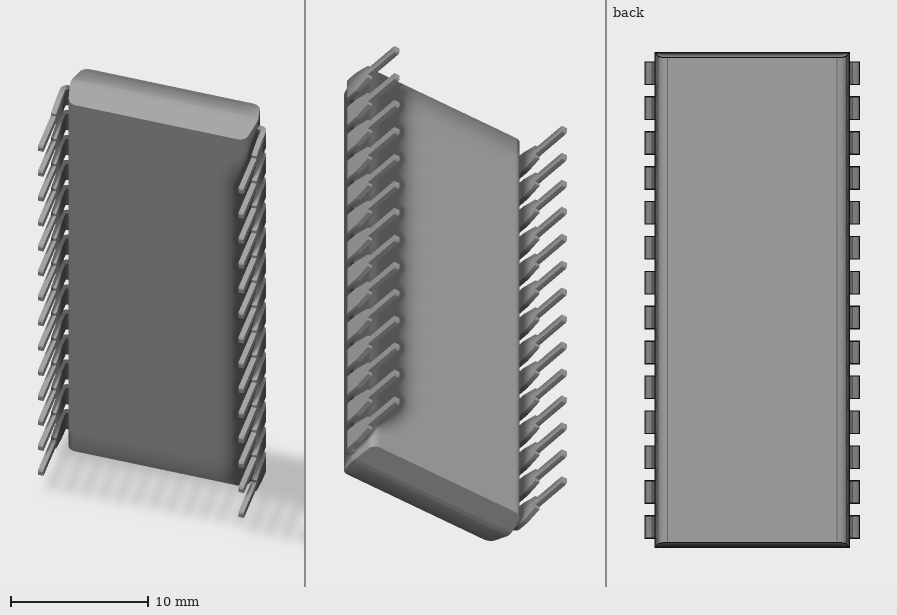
import cadquery as cq
import math

body_length = 36.0
body_width = 14.2
body_thickness = 3.9
band_thickness = 0.4
draft_inset = 0.35
edge_radius = 0.7

leads_per_row = 14
lead_row_length = 33.02
lead_pitch = lead_row_length / (leads_per_row - 1)
lead_span = 15.63
lead_thickness = 0.4
lead_root_length = 0.35
bend_outer_radius = 0.5
shoulder_width = 1.65
shoulder_end_width = 1.08
pin_width = 0.58
taper_start = 1.22
shoulder_end = 2.65
lead_tip = 5.98
tip_chamfer = 0.1

half_height = (body_thickness - band_thickness) / 2
draft_angle = math.degrees(math.atan(draft_inset / half_height))


def make_drafted_half(direction):
    """Half of the body, narrowing away from the band toward +Y (1) or -Y (-1)."""
    band_face = cq.Plane(
        origin=(0, direction * band_thickness / 2, 0), xDir=(1, 0, 0), normal=(0, direction, 0)
    )
    half = (
        cq.Workplane(band_face)
        .rect(body_width, body_length)
        .extrude(half_height, taper=draft_angle)
    )
    outer_face = ">Y" if direction > 0 else "<Y"
    return half.faces(outer_face).edges("|Z").fillet(edge_radius)


def make_body():
    band = cq.Workplane("XY").box(body_width, band_thickness, body_length)
    return band.union(make_drafted_half(1)).union(make_drafted_half(-1))


def make_lead():
    """Right-hand lead centred on Z = 0: a bent strip trimmed to its stepped outline."""
    outer_x = lead_span / 2
    inner_x = outer_x - lead_thickness
    root_x = body_width / 2 - lead_root_length
    top_y = lead_thickness / 2
    bend_x = outer_x - bend_outer_radius
    bend_y = top_y - bend_outer_radius
    bend_inner_radius = bend_outer_radius - lead_thickness

    strip = (
        cq.Workplane("XY")
        .moveTo(root_x, top_y)
        .lineTo(bend_x, top_y)
        .radiusArc((outer_x, bend_y), bend_outer_radius)
        .lineTo(outer_x, -lead_tip)
        .lineTo(inner_x, -lead_tip)
        .lineTo(inner_x, bend_y)
        .radiusArc((bend_x, -top_y), -bend_inner_radius)
        .lineTo(root_x, -top_y)
        .close()
        .extrude(shoulder_width / 2, both=True)
    )

    outline = (
        cq.Workplane("YZ", origin=(root_x, 0, 0))
        .moveTo(top_y, 0)
        .lineTo(top_y, shoulder_width / 2)
        .lineTo(-taper_start, shoulder_width / 2)
        .lineTo(-shoulder_end, shoulder_end_width / 2)
        .lineTo(-shoulder_end, pin_width / 2)
        .lineTo(-lead_tip, pin_width / 2)
        .lineTo(-lead_tip, 0)
        .mirrorX()
        .extrude(outer_x - root_x)
    )
    return strip.intersect(outline).faces("<Y").edges("|X").chamfer(tip_chamfer)


def add_leads(part):
    right_lead = make_lead()
    left_lead = right_lead.mirror("YZ")
    first_z = -lead_row_length / 2
    for index in range(leads_per_row):
        position = (0, 0, first_z + index * lead_pitch)
        part = part.union(right_lead.translate(position))
        part = part.union(left_lead.translate(position))
    return part


result = add_leads(make_body())